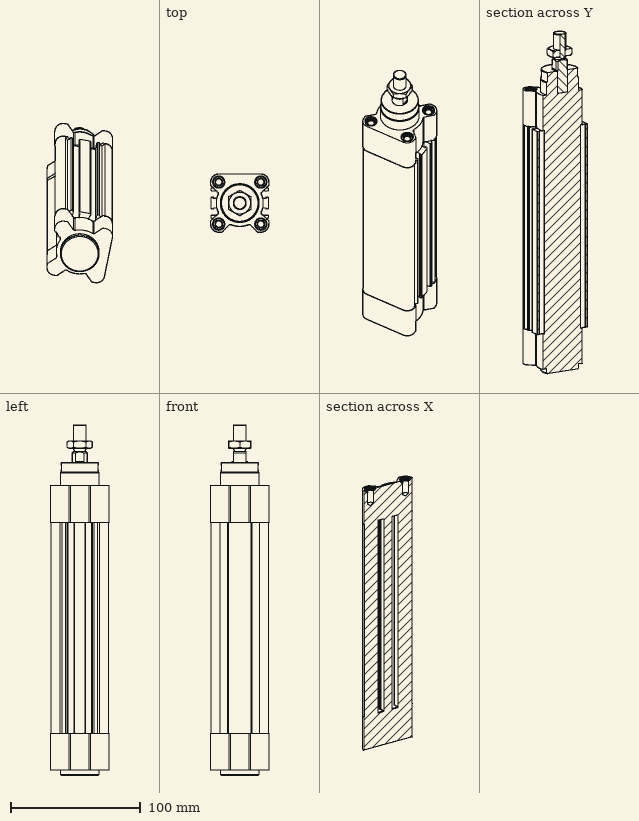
import cadquery as cq
import math

SPIGOT_TOP = 4.0
CAP_LENGTH = 28.4
TUBE_LENGTH = 162.5
TUBE_BOTTOM = SPIGOT_TOP + CAP_LENGTH
TUBE_TOP = TUBE_BOTTOM + TUBE_LENGTH
HEAD_TOP = TUBE_TOP + CAP_LENGTH
COLLAR_LENGTH = 10.3
COLLAR_TOP = HEAD_TOP + COLLAR_LENGTH
BOSS_TOP = 241.2
ROD_SHOULDER = 249.5
ROD_TOP = 270.0

CAP_WIDTH = 45.0
SCREW_OFFSET = 16.2
CAP_BULGE_RADIUS = 18.0
CAP_BULGE_HALF = 7.0
CAP_VALLEY = (8.0, 16.7)
CAP_MOUTH_HALF = 13.8
MOUTH_FILLET = 0.8

TUBE_WIDTH = 44.5
TUBE_BULGE_RADIUS = 17.8
TUBE_BULGE_HALF = 8.6
TUBE_VALLEY = (9.5, 15.7)
TUBE_BEND = (13.5, 19.7)
TUBE_MOUTH_HALF = 15.5

CUT_MARGIN = 2.7

RIB_HEAD_HALF = 4.5
RIB_NECK_HALF = 3.8
RIB_HEAD_INNER = 20.3
SLOT_FLOOR = 16.2
SLOT_OUTER = 9.2
LIP_OUTER = 11.0
GROOVE_BOTTOM = (12.7, 20.3)
SLOT_CHAMFER = 0.68

SPIGOT_DIAMETER = 30.0
SPIGOT_CHAMFER = 0.8
BOSS_DIAMETER = 29.0
BOSS_WAIST_DIAMETER = 28.4
COLLAR_CHAMFER = 0.5
BOSS_CHAMFER = 0.4

SCREW_COUNTERBORE = 8.6
SCREW_RIM_DIAMETER = 9.5
SCREW_RIM_DEPTH = 0.4
SCREW_COUNTERBORE_DEPTH = 1.0
SCREW_STEP = 8.0
SCREW_STEP_DEPTH = 1.5
SCREW_COUNTERSINK = 6.0
SCREW_BORE = 4.9
SCREW_BORE_DEPTH = 12.2
DRILL_POINT_ANGLE = 118.0

ROD_DIAMETER = 12.0
ROD_SEAT = HEAD_TOP
SHOULDER_DIAMETER = 9.0
SHOULDER_CHAMFER_HEIGHT = 1.0
FLAT_WIDTH = 10.0
FLAT_BOTTOM = 241.7
THREAD_DIAMETER = 10.0
NECK_DIAMETER = 8.0
THREAD_BOTTOM = 251.7
THREAD_CHAMFER = 0.5

HEX_HALF_ANGLE = 30.0
NUT_WIDTH = 17.0
NUT_BOTTOM = 252.0
NUT_HEIGHT = 5.7
NUT_FACE_DIAMETER = 16.7
NUT_CHAMFER_ANGLE = 30.0


def square_bar(width, bottom, length):
    """Square bar centred on Z, its corners rounded about the screw axes."""
    corner_radius = width / 2 - SCREW_OFFSET
    bar = cq.Workplane("XY").workplane(offset=bottom).rect(width, width).extrude(length)
    return bar.edges("|Z").fillet(corner_radius)


def bulge_recess(radius, bulge_half, wall, bottom, length):
    """Cutter for a recess in the -Y side, leaving a round bulge in its middle.

    Wall points are (half-width, distance from the axis) and lead from the edge of the bulge to the mouth.
    """
    bulge_edge = math.sqrt(radius**2 - bulge_half**2)
    outside = wall[-1][1] + CUT_MARGIN
    recess = cq.Workplane("XY").workplane(offset=bottom).moveTo(-bulge_half, -bulge_edge)
    recess = recess.threePointArc((0, -radius), (bulge_half, -bulge_edge))
    for x, depth in wall:
        recess = recess.lineTo(x, -depth)
    recess = recess.lineTo(wall[-1][0], -outside).lineTo(-wall[-1][0], -outside)
    for x, depth in reversed(wall):
        recess = recess.lineTo(-x, -depth)
    return recess.close().extrude(length)


def make_cap(bottom):
    """End cap with three recessed sides and a flat back."""
    cap = square_bar(CAP_WIDTH, bottom, CAP_LENGTH)
    mouth = (CAP_MOUTH_HALF, CAP_WIDTH / 2)
    recess = bulge_recess(CAP_BULGE_RADIUS, CAP_BULGE_HALF, [CAP_VALLEY, mouth], bottom, CAP_LENGTH)
    for angle in (-90, 0, 90):
        cap = cap.cut(recess.rotate((0, 0, 0), (0, 0, 1), angle))
    half, depth = mouth
    for side in (-1, 1):
        for x, y in ((side * half, -depth), (depth, side * half), (-depth, side * half)):
            nearest = cq.selectors.NearestToPointSelector((x, y, bottom + CAP_LENGTH / 2))
            cap = cap.edges("|Z").edges(nearest).fillet(MOUTH_FILLET)
    return cap


def side_slot():
    """Cutter for one sensor slot and the V groove beside it, in the +X side at +Y."""
    face = TUBE_WIDTH / 2
    outside = face + CUT_MARGIN
    slot_points = [
        (outside, RIB_HEAD_HALF - SLOT_CHAMFER),
        (face, RIB_HEAD_HALF - SLOT_CHAMFER),
        (face - SLOT_CHAMFER, RIB_HEAD_HALF),
        (RIB_HEAD_INNER, RIB_HEAD_HALF),
        (RIB_HEAD_INNER, RIB_NECK_HALF),
        (SLOT_FLOOR, RIB_NECK_HALF),
        (SLOT_FLOOR, SLOT_OUTER),
        (face - SLOT_CHAMFER, SLOT_OUTER),
        (face, SLOT_OUTER + SLOT_CHAMFER),
        (outside, SLOT_OUTER + SLOT_CHAMFER),
    ]
    groove_points = [
        (outside, LIP_OUTER),
        (face, LIP_OUTER),
        (GROOVE_BOTTOM[1], GROOVE_BOTTOM[0]),
        (TUBE_BEND[1], TUBE_BEND[0]),
        (face, TUBE_MOUTH_HALF),
        (outside, TUBE_MOUTH_HALF),
    ]
    plane = cq.Workplane("XY").workplane(offset=TUBE_BOTTOM)
    slot = plane.polyline(slot_points).close().extrude(TUBE_LENGTH)
    groove = plane.polyline(groove_points).close().extrude(TUBE_LENGTH)
    return slot.union(groove)


def make_tube():
    """Profile tube with a recessed front and slotted sides."""
    tube = square_bar(TUBE_WIDTH, TUBE_BOTTOM, TUBE_LENGTH)
    wall = [TUBE_VALLEY, TUBE_BEND, (TUBE_MOUTH_HALF, TUBE_WIDTH / 2)]
    recess = bulge_recess(TUBE_BULGE_RADIUS, TUBE_BULGE_HALF, wall, TUBE_BOTTOM, TUBE_LENGTH)
    tube = tube.cut(recess)
    right_slots = side_slot().union(side_slot().mirror("XZ"))
    return tube.cut(right_slots).cut(right_slots.mirror("YZ"))


def screw_hole():
    """Cutter for one corner screw hole, opening upward at Z = 0."""
    rim = SCREW_RIM_DIAMETER / 2
    counterbore = SCREW_COUNTERBORE / 2
    step = SCREW_STEP / 2
    countersink = SCREW_COUNTERSINK / 2
    bore = SCREW_BORE / 2
    point_depth = SCREW_BORE_DEPTH + bore / math.tan(math.radians(DRILL_POINT_ANGLE / 2))
    half_section = [
        (0, 0),
        (rim, 0),
        (counterbore, -SCREW_RIM_DEPTH),
        (counterbore, -SCREW_COUNTERBORE_DEPTH),
        (step, -SCREW_COUNTERBORE_DEPTH),
        (step, -SCREW_STEP_DEPTH),
        (countersink, -SCREW_STEP_DEPTH),
        (bore, -SCREW_STEP_DEPTH - (countersink - bore)),
        (bore, -SCREW_BORE_DEPTH),
        (0, -point_depth),
    ]
    return cq.Workplane("XZ").polyline(half_section).close().revolve(360, (0, 0), (0, 1))


def make_end_collars():
    """Bottom spigot, and the top collar with its waisted boss."""
    spigot = cq.Workplane("XY").circle(SPIGOT_DIAMETER / 2).extrude(SPIGOT_TOP)
    spigot = spigot.faces("<Z").chamfer(SPIGOT_CHAMFER)
    collar = cq.Workplane("XY").workplane(offset=HEAD_TOP).circle(SPIGOT_DIAMETER / 2)
    collar = collar.extrude(COLLAR_LENGTH).faces(">Z").chamfer(COLLAR_CHAMFER)
    boss_radius = BOSS_DIAMETER / 2
    waist = (BOSS_WAIST_DIAMETER / 2, (COLLAR_TOP + BOSS_TOP) / 2)
    boss = cq.Workplane("XZ").moveTo(0, COLLAR_TOP).lineTo(boss_radius, COLLAR_TOP)
    boss = boss.threePointArc(waist, (boss_radius, BOSS_TOP)).lineTo(0, BOSS_TOP)
    boss = boss.close().revolve(360, (0, 0), (0, 1)).faces(">Z").chamfer(BOSS_CHAMFER)
    return spigot, collar.union(boss)


def make_housing():
    """Tube, two caps and end collars in one solid, bored for the rod."""
    spigot, collar = make_end_collars()
    housing = make_tube().union(make_cap(SPIGOT_TOP)).union(make_cap(TUBE_TOP))
    housing = housing.union(spigot).union(collar)
    for x in (-SCREW_OFFSET, SCREW_OFFSET):
        for y in (-SCREW_OFFSET, SCREW_OFFSET):
            housing = housing.cut(screw_hole().translate((x, y, HEAD_TOP)))
    bore = cq.Workplane("XY").workplane(offset=ROD_SEAT).circle(ROD_DIAMETER / 2)
    return housing.cut(bore.extrude(BOSS_TOP - ROD_SEAT))


def make_rod():
    """Stepped piston rod with two wrench flats and a plain thread."""
    rod = ROD_DIAMETER / 2
    neck = NECK_DIAMETER / 2
    thread = THREAD_DIAMETER / 2
    half_section = [
        (0, ROD_SEAT),
        (rod, ROD_SEAT),
        (rod, ROD_SHOULDER - SHOULDER_CHAMFER_HEIGHT),
        (SHOULDER_DIAMETER / 2, ROD_SHOULDER),
        (neck, ROD_SHOULDER),
        (thread, THREAD_BOTTOM),
        (thread, ROD_TOP - THREAD_CHAMFER),
        (thread - THREAD_CHAMFER, ROD_TOP),
        (0, ROD_TOP),
    ]
    body = cq.Workplane("XZ").polyline(half_section).close().revolve(360, (0, 0), (0, 1))
    flat_height = ROD_SHOULDER - FLAT_BOTTOM
    for side in (-1, 1):
        flat = cq.Workplane("XY").box(ROD_DIAMETER, ROD_DIAMETER, flat_height, centered=(True, True, False))
        flat_centre = side * (FLAT_WIDTH + ROD_DIAMETER) / 2
        body = body.cut(flat.translate((flat_centre, 0, FLAT_BOTTOM)))
    return body


def make_nut():
    """Hexagonal nut with two flats facing X and chamfered corners."""
    corner_diameter = NUT_WIDTH / math.cos(math.radians(HEX_HALF_ANGLE))
    corner = corner_diameter / 2
    face = NUT_FACE_DIAMETER / 2
    chamfer_height = (corner - face) * math.tan(math.radians(NUT_CHAMFER_ANGLE))
    nut_top = NUT_BOTTOM + NUT_HEIGHT
    hexagon = cq.Workplane("XY").workplane(offset=NUT_BOTTOM).polygon(6, corner_diameter)
    hexagon = hexagon.extrude(NUT_HEIGHT).rotate((0, 0, 0), (0, 0, 1), HEX_HALF_ANGLE)
    envelope_section = [
        (0, NUT_BOTTOM),
        (face, NUT_BOTTOM),
        (corner, NUT_BOTTOM + chamfer_height),
        (corner, nut_top - chamfer_height),
        (face, nut_top),
        (0, nut_top),
    ]
    envelope = cq.Workplane("XZ").polyline(envelope_section).close().revolve(360, (0, 0), (0, 1))
    hole = cq.Workplane("XY").workplane(offset=NUT_BOTTOM).circle(THREAD_DIAMETER / 2).extrude(NUT_HEIGHT)
    return hexagon.intersect(envelope).cut(hole)


housing = make_housing()
rod = make_rod()
nut = make_nut()

result = cq.Compound.makeCompound([housing.val(), rod.val(), nut.val()])